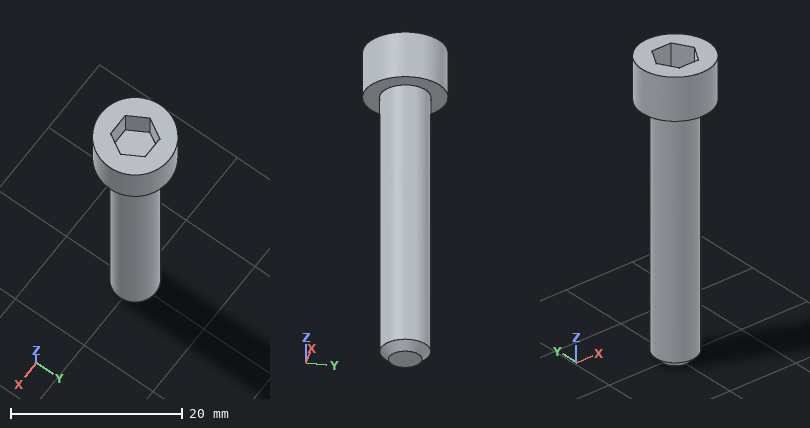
import cadquery as cq
import math

total_length = 41.0
head_diameter = 10.0
head_height = 6.0
shank_diameter = 6.0
thread_length = 24.0
tip_chamfer = 1.02
socket_across_flats = 5.0
socket_depth = 4.0

shank_length = total_length - head_height
plain_length = shank_length - thread_length
socket_across_corners = socket_across_flats / math.cos(math.pi / 6)


def make_head():
    """Cylindrical head standing on the plane Z = 0."""
    return cq.Workplane("XY").circle(head_diameter / 2).extrude(head_height)


def make_plain_shank():
    """Unthreaded shank directly below the head."""
    return cq.Workplane("XY").circle(shank_diameter / 2).extrude(-plain_length)


def make_threaded_section():
    """Simplified thread, a plain cylinder with a chamfered tip."""
    section = (
        cq.Workplane("XY", origin=(0, 0, -shank_length))
        .circle(shank_diameter / 2)
        .extrude(thread_length)
    )
    return section.faces("<Z").edges().chamfer(tip_chamfer)


def make_socket():
    """Hexagonal recess with two of its corners on the X axis."""
    return (
        cq.Workplane("XY", origin=(0, 0, head_height))
        .polygon(6, socket_across_corners)
        .extrude(-socket_depth)
    )


result = (
    make_head()
    .union(make_plain_shank())
    .union(make_threaded_section())
    .cut(make_socket())
)